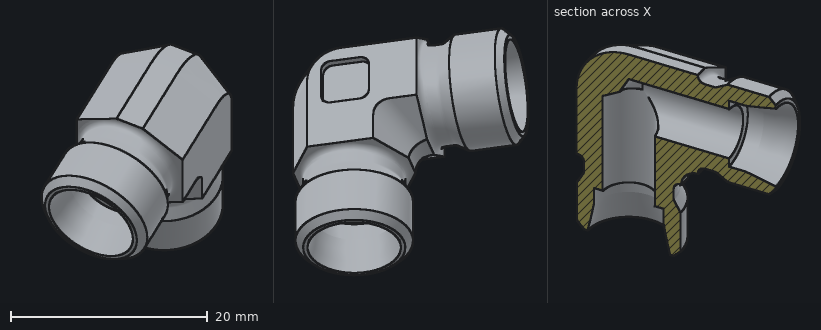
import cadquery as cq
import math

OVERALL = 23.05
PORT_END = 17.0
BODY_CREST = OVERALL - PORT_END

HALF_WIDTH = 6.0
SLOPE_ANGLE = 30.0
ARM_LENGTH = 8.0
INNER_FILLET = 2.0
WEDGE_REACH = 13.84

PORT_RADIUS = 6.0
NECK_RADIUS = 10.4 / 2
NECK_CONE_ANGLE = 30.0
NECK_BLEND = 0.7
THREAD_START = 11.41
END_CHAMFER = PORT_RADIUS - NECK_RADIUS

BORE_RADIUS = 3.0
DRILL_HALF_ANGLE = 60.0
SOCKET_RADIUS = 8.0 / 2
SOCKET_DEPTH = 5.4
MOUTH_RADIUS = 4.75
MOUTH_HALF_ANGLE = 12.0

BADGE_SIZE = 5.0
BADGE_CORNER = 1.0
BADGE_DEPTH = 0.88
BADGE_CENTER = -0.5


def slope_rise(run):
    return run * math.tan(math.radians(SLOPE_ANGLE))


SIDE_TOP = HALF_WIDTH / math.cos(math.radians(SLOPE_ANGLE)) - slope_rise(HALF_WIDTH)
CREST_HALF = HALF_WIDTH - (BODY_CREST - SIDE_TOP) / math.tan(math.radians(SLOPE_ANGLE))

UPPER_OUTLINE = [
    (-HALF_WIDTH, SIDE_TOP),
    (-CREST_HALF, BODY_CREST),
    (CREST_HALF, BODY_CREST),
    (HALF_WIDTH, SIDE_TOP),
]


def down_copy(port):
    """Turn a shape built along -Y so that it lies along -Z."""
    return port.mirror("XY").rotate((0, 0, 0), (1, 0, 0), 90)


def rounded_wedge(tilt_angle, face_distance):
    """Open space in the inner corner between two matching faces, one on each arm.

    The faces lean sideways by tilt_angle and lie face_distance from their arm's axis.
    """
    sine = math.sin(math.radians(tilt_angle))
    cosine = math.cos(math.radians(tilt_angle))
    offset = face_distance / cosine
    plane = cq.Plane(
        origin=(0, -offset, -offset),
        xDir=(2 * sine, -cosine, -cosine),
        normal=(cosine, sine, sine),
    )
    half_opening = math.asin(math.sqrt((1 + sine**2) / 2))
    half_mouth = WEDGE_REACH * math.tan(half_opening)
    return (
        cq.Workplane(plane)
        .polyline([(0, 0), (WEDGE_REACH, -half_mouth), (WEDGE_REACH, half_mouth)])
        .close()
        .extrude(WEDGE_REACH, both=True)
        .edges(cq.selectors.NearestToPointSelector((0, -offset, -offset)))
        .fillet(INNER_FILLET)
    )


def make_body():
    half_outline = [(-HALF_WIDTH, 0)] + UPPER_OUTLINE + [(HALF_WIDTH, 0)]
    arm = cq.Workplane("XZ").polyline(half_outline).close().extrude(ARM_LENGTH)
    corner = cq.Workplane("XZ").polyline(half_outline).close().revolve(90, (0, 0), (-1, 0))
    core = cq.Workplane().box(2 * HALF_WIDTH, ARM_LENGTH, ARM_LENGTH)
    core = core.translate((0, -ARM_LENGTH / 2, -ARM_LENGTH / 2))
    body = core.union(arm).union(down_copy(arm)).union(corner)

    body = body.cut(rounded_wedge(0, BODY_CREST))
    for tilt in (-SLOPE_ANGLE, SLOPE_ANGLE):
        body = body.cut(rounded_wedge(tilt, HALF_WIDTH))
    return body


def make_port():
    """Port along -Y: neck groove, conical rise, cylinder and chamfered end."""
    neck_fillet = PORT_RADIUS - NECK_RADIUS
    cone_angle = math.radians(NECK_CONE_ANGLE)
    cone_start = THREAD_START - neck_fillet / math.tan(cone_angle)
    blend_reach = NECK_BLEND * math.tan(cone_angle / 2)
    blend_end = (
        NECK_RADIUS + blend_reach * math.sin(cone_angle),
        -cone_start - blend_reach * math.cos(cone_angle),
    )
    blend_middle = (
        NECK_RADIUS + NECK_BLEND * (1 - math.cos(cone_angle / 2)),
        -cone_start + blend_reach - NECK_BLEND * math.sin(cone_angle / 2),
    )
    return (
        cq.Workplane("XY")
        .moveTo(0, -ARM_LENGTH)
        .lineTo(PORT_RADIUS, -ARM_LENGTH)
        .radiusArc((NECK_RADIUS, -ARM_LENGTH - neck_fillet), -neck_fillet)
        .lineTo(NECK_RADIUS, -cone_start + blend_reach)
        .threePointArc(blend_middle, blend_end)
        .lineTo(PORT_RADIUS, -THREAD_START)
        .lineTo(PORT_RADIUS, -PORT_END + END_CHAMFER)
        .lineTo(PORT_RADIUS - END_CHAMFER, -PORT_END)
        .lineTo(0, -PORT_END)
        .close()
        .revolve(360, (0, 0), (0, 1))
    )


def make_bore():
    """Cavity along -Y: drill point, bore, tube socket and tapered mouth."""
    tip = BORE_RADIUS / math.tan(math.radians(DRILL_HALF_ANGLE))
    mouth_depth = (MOUTH_RADIUS - SOCKET_RADIUS) / math.tan(math.radians(MOUTH_HALF_ANGLE))
    shoulder = -PORT_END + SOCKET_DEPTH
    outline = [
        (0, tip),
        (BORE_RADIUS, 0),
        (BORE_RADIUS, shoulder),
        (SOCKET_RADIUS, shoulder),
        (SOCKET_RADIUS, -PORT_END + mouth_depth),
        (MOUTH_RADIUS, -PORT_END),
        (0, -PORT_END),
    ]
    return cq.Workplane("XY").polyline(outline).close().revolve(360, (0, 0), (0, 1))


def make_badge_recess():
    return (
        cq.Workplane("YZ", origin=(-HALF_WIDTH, 0, 0))
        .center(BADGE_CENTER, BADGE_CENTER)
        .rect(BADGE_SIZE, BADGE_SIZE)
        .extrude(BADGE_DEPTH)
        .edges("|X")
        .fillet(BADGE_CORNER)
    )


port = make_port()
bore = make_bore()

result = make_body().union(port).union(down_copy(port))
result = result.cut(bore).cut(down_copy(bore)).cut(make_badge_recess())